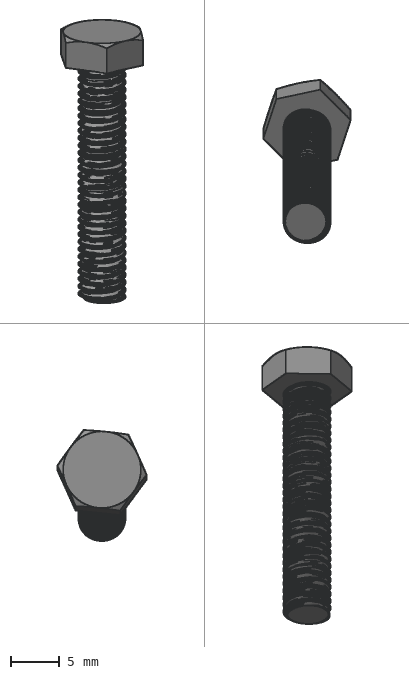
import cadquery as cq
import math

total_length = 28.45
head_height = 3.05
across_flats = 7.95
across_corners = across_flats / math.cos(math.radians(30))
chamfer_angle = 30.0
shank_length = total_length - head_height

major_radius = 2.42
thread_depth = 0.55
root_radius = major_radius - thread_depth
turns = 32
pitch = shank_length / turns
crest_width = 0.04
root_height_at_x = 0.25
flank_points = 12


def make_head():
    """Hexagonal head with two flats facing X and a conical chamfer on its top corners."""
    hexagon = (
        cq.Workplane("XY", origin=(0, 0, shank_length))
        .transformed(rotate=(0, 0, 30))
        .polygon(6, across_corners)
        .extrude(head_height)
    )
    top_radius = across_flats / 2
    base_radius = top_radius + head_height / math.tan(math.radians(chamfer_angle))
    chamfer_cone = (
        cq.Workplane("XZ")
        .moveTo(0, shank_length)
        .lineTo(base_radius, shank_length)
        .lineTo(top_radius, total_length)
        .lineTo(0, total_length)
        .close()
        .revolve(360, (0, 0, 0), (0, 1, 0))
    )
    return hexagon.intersect(chamfer_cone)


def polar_point(radius, angle):
    """Point in the XY plane at the given radius and angle in degrees."""
    return (radius * math.cos(math.radians(angle)), radius * math.sin(math.radians(angle)))


def make_shank():
    """Threaded shank, made by twisting the level cross-section of the thread along Z.

    One trip around the section passes one pitch of the thread: a spiral flank from
    the root up to the crest, the crest arc, and a matching spiral back to the root.
    """
    flank_angle = 180 * (1 - crest_width / pitch)

    def rising_flank(t):
        return polar_point(root_radius + thread_depth * t, flank_angle * t)

    def falling_flank(t):
        return polar_point(major_radius - thread_depth * t, flank_angle * (t - 1))

    section = (
        cq.Workplane("XY")
        .transformed(rotate=(0, 0, -360 * root_height_at_x / pitch))
        .parametricCurve(rising_flank, N=flank_points, makeWire=False)
        .moveTo(*polar_point(major_radius, flank_angle))
        .threePointArc((-major_radius, 0), polar_point(major_radius, -flank_angle))
        .parametricCurve(falling_flank, N=flank_points, makeWire=False)
        .wire()
    )
    return section.twistExtrude(shank_length, 360 * turns)


result = make_head().union(make_shank())